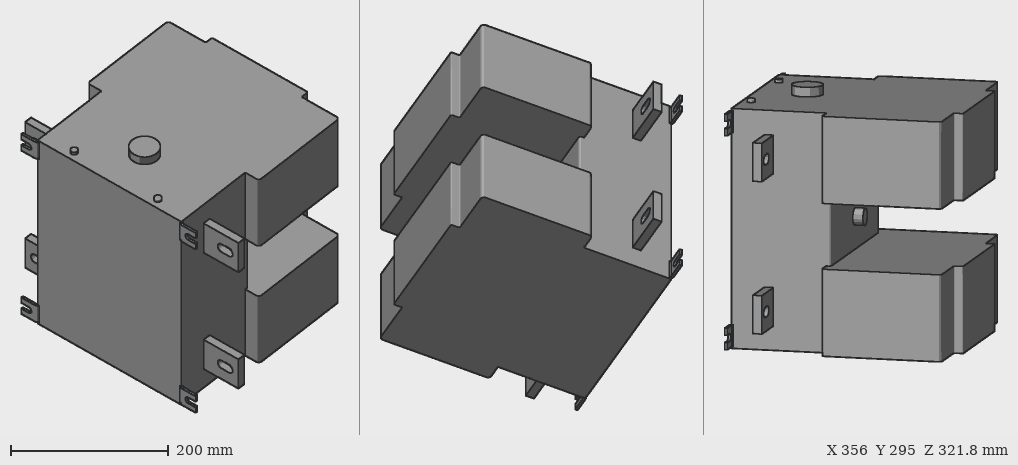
import cadquery as cq

body_width = 240.0
body_height = 309.3
wing_width = 286.0
wing_front_y = 124.2
wing_back_y = 281.0
wing_fillet = 5.0
rear_pad_width = 160.0
rear_y = 293.0
rear_pad_fillet = 1.8
mid_z = body_height / 2

gap_height = 84.7
gap_floor_y = 130.5
gap_edge_fillet = 3.5
button_diameter = 22.0
button_length = 13.0

knob_diameter = 40.2
knob_height = 12.5
knob_y = 68.5
pin_diameter = 10.0
pin_height = 4.3
pin_x = 69.8
pin_y = 12.8
pin_fillet = 1.0

terminal_span = 356.0
terminal_height = 49.5
terminal_front_y = 43.5
terminal_thickness = 11.7
terminal_spacing = 196.5
terminal_slot_length = 25.0
terminal_slot_width = 13.0
terminal_slot_x = 156.0

ear_tip_x = 145.5
ear_height = 27.8
ear_margin = 3.0
ear_front_y = -2.0
ear_back_y = 1.5
ear_bend = 3.0
ear_bend_front_y = -1.5
ear_bend_back_y = 3.0
ear_slot_width = 9.5
ear_slot_end_x = 128.5


def centred_box(width, y_start, y_end, height):
    """Box centred on X = 0 and on the enclosure's middle height, between two Y planes."""
    box = cq.Workplane("XY").box(width, y_end - y_start, height)
    return box.translate((0, (y_start + y_end) / 2, mid_z))


def make_enclosure():
    """Narrow front, wide wings and a shallow rear pad, cut by the rear gap."""
    wings = centred_box(wing_width, wing_front_y, wing_back_y, body_height)
    wings = wings.edges("|Z").fillet(wing_fillet)
    rear_pad = centred_box(rear_pad_width, wing_front_y, rear_y, body_height)
    rear_pad = rear_pad.edges("|Z and >Y").fillet(rear_pad_fillet)
    rear = wings.union(rear_pad)
    inner_corners = cq.selectors.BoxSelector(
        (-rear_pad_width / 2 - rear_pad_fillet, wing_back_y - rear_pad_fillet, 0),
        (rear_pad_width / 2 + rear_pad_fillet, wing_back_y + rear_pad_fillet, body_height),
    )
    rear = rear.edges("|Z").edges(inner_corners).fillet(rear_pad_fillet)
    gap = centred_box(wing_width, wing_front_y, rear_y, gap_height)
    core = centred_box(body_width, 0, gap_floor_y, body_height)
    core = core.edges("|Z and >Y").fillet(gap_edge_fillet)
    return rear.cut(gap).union(core)


def make_button():
    """Round button standing on the floor of the rear gap."""
    button = cq.Workplane("XZ").circle(button_diameter / 2).extrude(-button_length)
    return button.translate((0, gap_floor_y, mid_z))


def make_top_stud(x, y, diameter, height):
    """Short cylinder standing on the top face."""
    return cq.Workplane("XY", origin=(x, y, body_height)).circle(diameter / 2).extrude(height)


def make_terminal(z):
    """Flat bar across the full width with a slot near each end."""
    back_y = terminal_front_y + terminal_thickness
    bar = centred_box(terminal_span, terminal_front_y, back_y, terminal_height)
    slots = (
        cq.Workplane("XZ")
        .pushPoints([(-terminal_slot_x, mid_z), (terminal_slot_x, mid_z)])
        .slot2D(terminal_slot_length, terminal_slot_width)
        .extrude(-terminal_span)
    )
    return bar.cut(slots).translate((0, 0, z - mid_z))


def make_ear(z):
    """Right-hand sheet ear, bent onto the body corner, with a slot open at its tip."""
    side_x = body_width / 2
    bend_end_x = side_x + ear_bend
    ear = (
        cq.Workplane("XY")
        .moveTo(side_x - ear_bend, 0)
        .lineTo(side_x, ear_bend_front_y)
        .lineTo(bend_end_x, ear_front_y)
        .lineTo(ear_tip_x, ear_front_y)
        .lineTo(ear_tip_x, ear_back_y)
        .lineTo(bend_end_x, ear_back_y)
        .lineTo(side_x, ear_bend_back_y)
        .lineTo(side_x - ear_bend, ear_bend_back_y)
        .close()
        .extrude(ear_height / 2, both=True)
    )
    slot_length = 2 * (ear_tip_x - ear_slot_end_x)
    slot = cq.Workplane("XZ").center(ear_tip_x, 0).slot2D(slot_length, ear_slot_width)
    return ear.cut(slot.extrude(ear_height, both=True)).translate((0, 0, z))


result = make_enclosure().union(make_button())
result = result.union(make_top_stud(0, knob_y, knob_diameter, knob_height))
result = result.union(make_top_stud(-pin_x, pin_y, pin_diameter, pin_height))
rounded_pin = make_top_stud(pin_x, pin_y, pin_diameter, pin_height).faces(">Z").edges().fillet(pin_fillet)
result = result.union(rounded_pin)

for side in (-1, 1):
    result = result.union(make_terminal(mid_z + side * terminal_spacing / 2))

ear_offset_z = mid_z - ear_margin - ear_height / 2
for side in (-1, 1):
    ear = make_ear(mid_z + side * ear_offset_z)
    result = result.union(ear).union(ear.mirror("YZ"))